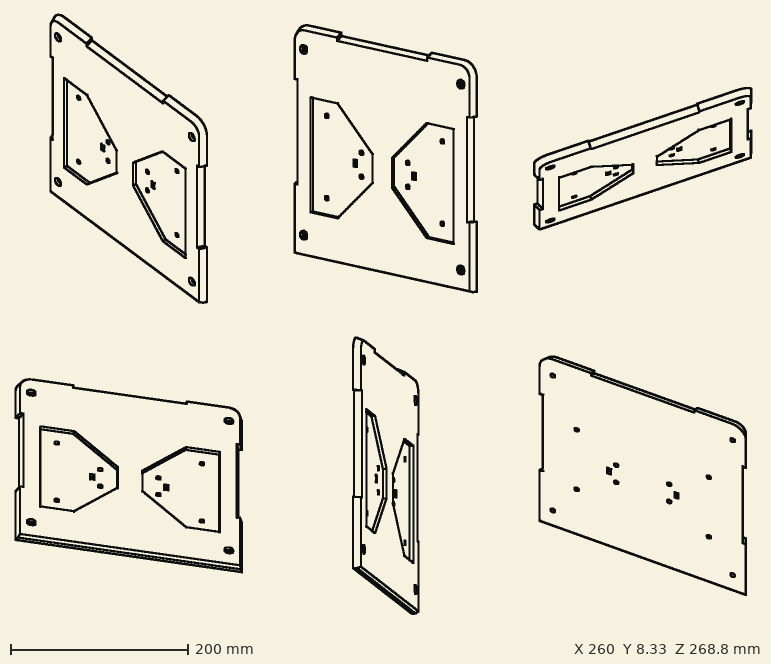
import cadquery as cq
import math

WIDTH = 260.0
HEIGHT = 268.83
THICKNESS = 8.33
BEVEL_ANGLE = 25.0
BEVEL = THICKNESS * math.tan(math.radians(BEVEL_ANGLE))
FRONT_CORNER_RADIUS = 14.0
CORNER_RADIUS = FRONT_CORNER_RADIUS + BEVEL
TOP = HEIGHT / 2
BOTTOM = -HEIGHT / 2
BACK = THICKNESS / 2
FRONT = -THICKNESS / 2

BOTTOM_BEVEL_RISE = 1.85
BOTTOM_BEVEL_DEPTH = THICKNESS / 2

NOTCH_DEPTH = BEVEL
TOP_NOTCH_WIDTH = 130.0
SIDE_NOTCH_TOP = 71.0
SIDE_NOTCH_LENGTH = 123.33

POCKET_CENTER_Z = -13.9
POCKET_OUTER_X = 102.9
POCKET_INNER_X = 14.0
POCKET_HEIGHT = 134.8
POCKET_CORNER_CUT = 50.3
POCKET_DEPTH = 4.3

POCKET_HOLE_DIAMETER = 5.0
OUTER_HOLE_X = 83.3
OUTER_HOLE_SPACING = 96.4
INNER_HOLE_X = 33.4
INNER_HOLE_SPACING = 28.0
SLOT_X = 42.5
SLOT_WIDTH = 5.0
SLOT_HEIGHT = 8.0

SCREW_X = 113.33
SCREW_UPPER_Z = 107.9
SCREW_LOWER_Z = -110.0
SCREW_DIAMETER = 5.5
SCREW_HEAD_DIAMETER = 10.0
SCREW_HEAD_DEPTH = 4.0

SIDES = (-1, 1)


def front_plane():
    """Sketch plane on the front face: local x is X, local y is Z, extruding goes out to -Y."""
    return cq.Workplane("XZ", origin=(0, FRONT, 0))


def rim_outline(inset, y):
    """Wire of the plate at depth y, with the sides and top moved in by inset."""
    half_width = WIDTH / 2 - inset
    top = TOP - inset
    radius = CORNER_RADIUS - inset
    diagonal = radius * (1 - 0.5 ** 0.5)
    return (
        cq.Workplane("XZ", origin=(0, y, 0))
        .moveTo(-half_width, BOTTOM)
        .lineTo(half_width, BOTTOM)
        .lineTo(half_width, top - radius)
        .threePointArc((half_width - diagonal, top - diagonal), (half_width - radius, top))
        .lineTo(radius - half_width, top)
        .threePointArc((diagonal - half_width, top - diagonal), (-half_width, top - radius))
        .close()
        .val()
    )


def beveled_plate():
    """Plate tapering from the back face to the front face along its sides and top."""
    wires = [rim_outline(0, BACK), rim_outline(BEVEL, FRONT)]
    plate = cq.Workplane(cq.Solid.makeLoft(wires, True))
    bottom_bevel = (
        cq.Workplane("YZ", origin=(-WIDTH / 2, 0, 0))
        .moveTo(FRONT, BOTTOM)
        .lineTo(FRONT + BOTTOM_BEVEL_DEPTH, BOTTOM)
        .lineTo(FRONT, BOTTOM + BOTTOM_BEVEL_RISE)
        .close()
        .extrude(WIDTH)
    )
    return plate.cut(bottom_bevel)


def notch_profile(plane, rim):
    """Notch section in (across, Y): a strip whose floor stays parallel to the beveled rim."""
    return (
        cq.Workplane(plane)
        .moveTo(rim - NOTCH_DEPTH, BACK)
        .lineTo(rim, BACK)
        .lineTo(rim, FRONT)
        .lineTo(rim - NOTCH_DEPTH - BEVEL, FRONT)
        .close()
    )


def top_notch():
    plane = cq.Plane(origin=(-TOP_NOTCH_WIDTH / 2, 0, 0), xDir=(0, 0, 1), normal=(-1, 0, 0))
    return notch_profile(plane, TOP).extrude(-TOP_NOTCH_WIDTH)


def side_notches():
    plane = cq.Plane.XY(origin=(0, 0, SIDE_NOTCH_TOP))
    right = notch_profile(plane, WIDTH / 2).extrude(-SIDE_NOTCH_LENGTH)
    return right.union(right.mirror("YZ"))


def pockets():
    half_height = POCKET_HEIGHT / 2
    shoulder_x = POCKET_INNER_X + POCKET_CORNER_CUT
    shoulder_z = half_height - POCKET_CORNER_CUT
    right = (
        cq.Workplane("XZ", origin=(0, FRONT, POCKET_CENTER_Z))
        .polyline([
            (POCKET_OUTER_X, -half_height),
            (POCKET_OUTER_X, half_height),
            (shoulder_x, half_height),
            (POCKET_INNER_X, shoulder_z),
            (POCKET_INNER_X, -shoulder_z),
            (shoulder_x, -half_height),
        ])
        .close()
        .extrude(-POCKET_DEPTH)
    )
    return right.union(right.mirror("YZ"))


def pocket_holes():
    round_points = []
    for x, spacing in ((OUTER_HOLE_X, OUTER_HOLE_SPACING), (INNER_HOLE_X, INNER_HOLE_SPACING)):
        for side in SIDES:
            for end in SIDES:
                round_points.append((side * x, POCKET_CENTER_Z + end * spacing / 2))
    slot_points = [(side * SLOT_X, POCKET_CENTER_Z) for side in SIDES]
    holes = front_plane().pushPoints(round_points).circle(POCKET_HOLE_DIAMETER / 2).extrude(-THICKNESS)
    slots = front_plane().pushPoints(slot_points).rect(SLOT_WIDTH, SLOT_HEIGHT).extrude(-THICKNESS)
    return holes.union(slots)


def screw_holes():
    points = [(side * SCREW_X, z) for side in SIDES for z in (SCREW_UPPER_Z, SCREW_LOWER_Z)]
    shanks = front_plane().pushPoints(points).circle(SCREW_DIAMETER / 2).extrude(-THICKNESS)
    heads = front_plane().pushPoints(points).circle(SCREW_HEAD_DIAMETER / 2).extrude(-SCREW_HEAD_DEPTH)
    return shanks.union(heads)


result = (
    beveled_plate()
    .cut(top_notch())
    .cut(side_notches())
    .cut(pockets())
    .cut(pocket_holes())
    .cut(screw_holes())
)